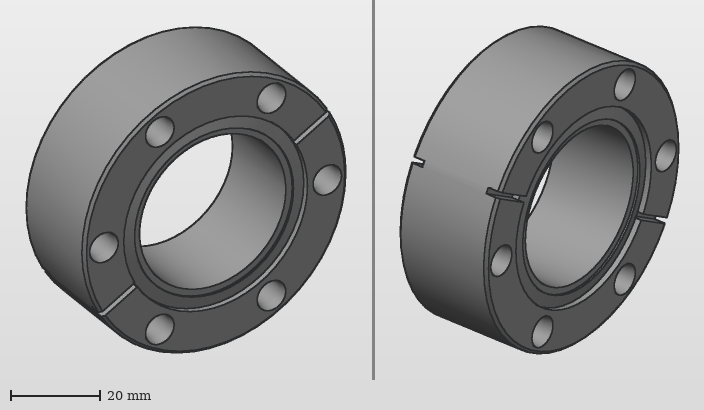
import cadquery as cq
import math

outer_radius = 34.7
thickness = 25.4
rim_chamfer = 0.75
bore_radius = 19.2

recess_radius = 24.1
flank_foot_radius = 23.9
recess_depth = 1.6
knife_radius = 21.1
knife_angle = 18.0
lip_radius = 20.9
inner_floor_depth = 1.25

bolt_count = 6
bolt_circle_radius = 29.3
core_radius = 3.4
mouth_radius = 3.75
lead_in_depth = 2.6

slot_width = 1.45
slot_depth = 3.5
slot_tilt = 30.0

half_thickness = thickness / 2
knife_rise = (flank_foot_radius - knife_radius) * math.tan(math.radians(knife_angle))
knife_depth = recess_depth - knife_rise


def make_body():
    """Ring with chamfered outer edges."""
    ring = cq.Workplane("YZ", origin=(-half_thickness, 0, 0)).circle(outer_radius).extrude(thickness)
    ring = ring.faces("<X or >X").edges().chamfer(rim_chamfer)
    bore = cq.Workplane("YZ", origin=(-half_thickness, 0, 0)).circle(bore_radius).extrude(thickness)
    return ring.cut(bore)


def make_recess():
    """Recess of the -X face, leaving a narrow flat-topped knife edge with a sloped outer flank."""
    face = -half_thickness
    floor = face + inner_floor_depth
    return (
        cq.Workplane("XY")
        .moveTo(face, 0)
        .lineTo(face, recess_radius)
        .lineTo(face + recess_depth, recess_radius)
        .lineTo(face + recess_depth, flank_foot_radius)
        .lineTo(face + knife_depth, knife_radius)
        .lineTo(face + knife_depth, lip_radius)
        .lineTo(floor, lip_radius)
        .lineTo(floor, 0)
        .close()
        .revolve(360, (0, 0, 0), (1, 0, 0))
    )


def make_slots():
    """Two opposite slots of the -X face, from the recess wall out through the rim."""
    bar = (
        cq.Workplane("YZ", origin=(-half_thickness, 0, 0))
        .rect(3 * outer_radius, slot_width)
        .extrude(slot_depth)
    )
    core = (
        cq.Workplane("YZ", origin=(-half_thickness, 0, 0))
        .circle(recess_radius)
        .extrude(slot_depth)
    )
    return bar.cut(core).rotate((0, 0, 0), (1, 0, 0), slot_tilt)


def make_core_holes():
    """Cylinders through the whole ring on the bolt circle."""
    return (
        cq.Workplane("YZ", origin=(-half_thickness, 0, 0))
        .polarArray(bolt_circle_radius, 0, 360, bolt_count)
        .circle(core_radius)
        .extrude(thickness)
    )


def make_lead_ins():
    """Cones of the -X face that narrow from the hole mouths to the core holes."""
    cone = cq.Solid.makeCone(
        mouth_radius, core_radius, lead_in_depth,
        pnt=cq.Vector(-half_thickness, 0, 0), dir=cq.Vector(1, 0, 0),
    )
    cones = cq.Workplane("XY")
    for index in range(bolt_count):
        angle = math.radians(index * 360 / bolt_count)
        y = bolt_circle_radius * math.cos(angle)
        z = bolt_circle_radius * math.sin(angle)
        cones = cones.add(cone.moved(cq.Location(cq.Vector(0, y, z))))
    return cones.combine()


result = make_body().cut(make_core_holes())
face_cutters = (
    make_recess(),
    make_slots(),
    make_lead_ins(),
)
for cutter in face_cutters:
    result = result.cut(cutter).cut(cutter.mirror("YZ"))